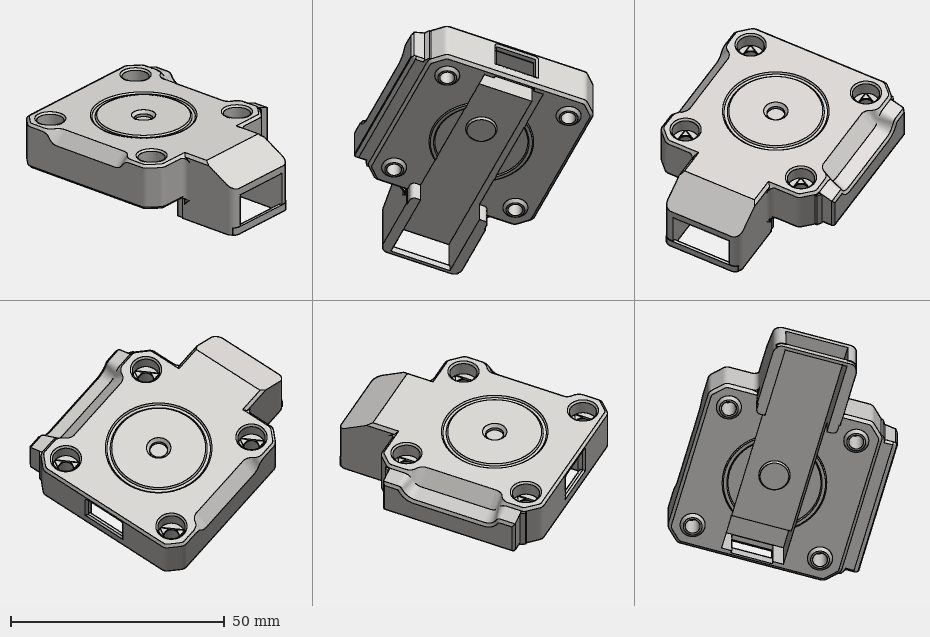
import cadquery as cq
import math

OVERALL_LENGTH = 57.0
OVERALL_WIDTH = 46.25
OVERLAP = 0.55

BODY_HALF = 42.0 / 2
BODY_BACK = 21.25
MIDDLE_Y = (BODY_BACK - BODY_HALF) / 2
BODY_BOTTOM = 5.35
TOP = 16.9
CORNER_LEG = 3.3
CORNER_ROUND = 1.95
TOP_CHAMFER = 0.6
BOTTOM_CHAMFER = 0.75

FRONT_SCOOP_DEPTH = 3.1
BACK_SCOOP_DEPTH = FRONT_SCOOP_DEPTH + BODY_BACK - BODY_HALF
SCOOP_FLAT_HALF = 8.95
SCOOP_OUTER_HALF = 13.35
SCOOP_END = 18.25
SCOOP_LID = 22.8
EVEN_TURN = 0.5

FLANGE_HALF = 17.1
FLANGE_BACK = OVERALL_WIDTH - BODY_HALF
FLANGE_BOTTOM = BODY_BOTTOM + BOTTOM_CHAMFER
FLANGE_FALL = math.tan(math.radians(20))
FLANGE_CHAMFER = 0.55
FLANGE_BACK_TURN = 0.78
FLANGE_GUSSET_WIDTH = 1.1
FLANGE_GUSSET_DEPTH = 0.75

DUCT_START = 17.95
DUCT_STEP = 20.35
DUCT_END = 35.85
DUCT_HALF = 20.25 / 2
DUCT_STEP_INSET = 0.3
DUCT_START_ROUND = 1.15
DUCT_END_ROUND = 2.05
DUCT_SIDE_CHAMFER = 0.75
DUCT_SLOPE_START = 27.1
DUCT_SLOPE = math.tan(math.radians(30))
DUCT_FILLET = 1.5
DUCT_FILLET_FALL = 0.7
DUCT_FILLET_TAIL = 0.15
BAR_START = 35.25
BAR_END = OVERALL_LENGTH - BODY_HALF
BAR_HEIGHT = 1.9

CAVITY_HALF = 7.5
CAVITY_START = -19.3
CAVITY_CEILING = 10.0
POCKET_END = -12.55
POCKET_CEILING = 15.45

WINDOW_HALF = 5.55
WINDOW_BOTTOM = 8.4
WINDOW_TOP = 15.8
WINDOW_ROUND = 0.85
WINDOW_CHAMFER = 0.5
WINDOW_SILL_CHAMFER = 0.35
WINDOW_SILL_END = -19.85

SCREW_OFFSET = 15.5
SCREW_HOLE_D = 3.5
COUNTERBORE_D = 6.4
COUNTERBORE_RIM_D = 7.3
COUNTERBORE_DEPTH = 3.7
STEP_DEPTH = 0.3
FOOT_TOP_D = 5.9
FOOT_TIP_D = 4.4
FOOT_HEIGHT = 0.8

CENTRE_RIM_D = 5.7
CENTRE_HOLE_D = 4.2
CENTRE_DEPTH = 1.4
BOSS_TOP_D = 7.35
BOSS_TIP_D = 6.7
BOSS_HEIGHT = 0.6
GROOVE_OUTER_R = 12.5
GROOVE_INNER_R = 11.0
GROOVE_DEPTH = 0.37
RING_OUTER_R = 12.25
RING_INNER_R = 11.2
RING_HEIGHT = 0.3


def box(x_range, y_range, z_range):
    """Block between the given limits."""
    size = [high - low for low, high in (x_range, y_range, z_range)]
    return cq.Workplane("XY", origin=(x_range[0], y_range[0], z_range[0])).box(*size, centered=False)


def cone(top_d, bottom_d, top_z, height):
    """Cone frustum on the Z axis."""
    solid = cq.Solid.makeCone(bottom_d / 2, top_d / 2, height, cq.Vector(0, 0, top_z - height))
    return cq.Workplane(solid)


def ring(profile):
    """Solid turned about the Z axis from (radius, z) points."""
    return cq.Workplane("XZ").polyline(profile).close().revolve(360, (0, 0), (0, 1))


def scoop_outline(y, shoulder_z, depth, lower_share):
    """Closed outline at a given Y above a scoop: S curves join its level floor to level shoulders."""
    run = SCOOP_OUTER_HALF - SCOOP_FLAT_HALF
    rise = depth - TOP_CHAMFER
    floor_z = shoulder_z - rise
    half_turn = math.atan2(rise, run)
    length = math.hypot(rise, run)
    lower_chord = lower_share * length
    upper_chord = length - lower_chord
    inflection = (SCOOP_FLAT_HALF + lower_share * run, floor_z + lower_share * rise)

    def step(chord):
        """Offset from a level end of an arc to the arc's middle point."""
        half_chord = chord / 2 / math.cos(half_turn / 2)
        return half_chord * math.cos(half_turn / 2), half_chord * math.sin(half_turn / 2)

    lower_dx, lower_dz = step(lower_chord)
    upper_dx, upper_dz = step(upper_chord)
    lower_middle = (SCOOP_FLAT_HALF + lower_dx, floor_z + lower_dz)
    upper_middle = (SCOOP_OUTER_HALF - upper_dx, shoulder_z - upper_dz)
    return (
        cq.Workplane("XZ", origin=(0, y, 0))
        .moveTo(-SCOOP_FLAT_HALF, floor_z)
        .lineTo(SCOOP_FLAT_HALF, floor_z)
        .threePointArc(lower_middle, inflection)
        .threePointArc(upper_middle, (SCOOP_OUTER_HALF, shoulder_z))
        .lineTo(SCOOP_END, shoulder_z)
        .lineTo(SCOOP_END, SCOOP_LID)
        .lineTo(-SCOOP_END, SCOOP_LID)
        .lineTo(-SCOOP_END, shoulder_z)
        .lineTo(-SCOOP_OUTER_HALF, shoulder_z)
        .threePointArc((-upper_middle[0], upper_middle[1]), (-inflection[0], inflection[1]))
        .threePointArc((-lower_middle[0], lower_middle[1]), (-SCOOP_FLAT_HALF, floor_z))
        .close()
        .wire()
        .val()
    )


def scoop_cutter(start, end, depth, end_share=EVEN_TURN):
    """Ruled cutter for a scoop of given depth between the (y, shoulder z) pairs at its two ends."""
    outlines = [scoop_outline(*start, depth, EVEN_TURN), scoop_outline(*end, depth, end_share)]
    return cq.Workplane(cq.Solid.makeLoft(outlines, True))


def edge_scoop(depth, wall_y, inward):
    """Scoop cutter that rises at 45 degrees from a wall of the body towards its middle."""
    shoulder_z = TOP - TOP_CHAMFER
    return scoop_cutter((wall_y, shoulder_z), (wall_y + inward * depth, shoulder_z + depth), depth)


def body():
    """Square block with cut corners and chamfered rims."""
    block = box((-BODY_HALF, BODY_HALF), (-BODY_HALF, BODY_BACK), (BODY_BOTTOM, TOP))
    block = block.edges("|Z").chamfer(CORNER_LEG).edges("|Z").fillet(CORNER_ROUND)
    block = block.faces(">Z").chamfer(TOP_CHAMFER)
    return block.faces("<Z").chamfer(BOTTOM_CHAMFER)


def flange():
    """Block on the back whose top falls outward and carries the scoop on."""
    depth = FLANGE_BACK - BODY_BACK
    half = FLANGE_HALF
    block = box((-half, half), (BODY_BACK - OVERLAP, FLANGE_BACK), (FLANGE_BOTTOM, TOP))
    shoulder = TOP - TOP_CHAMFER
    wall = (BODY_BACK, shoulder)
    back = (FLANGE_BACK, shoulder - depth * FLANGE_FALL)
    block = block.cut(scoop_cutter(wall, back, BACK_SCOOP_DEPTH, FLANGE_BACK_TURN))
    root = (BODY_BACK - OVERLAP, shoulder)
    block = block.cut(scoop_cutter(wall, root, BACK_SCOOP_DEPTH))
    block = block.faces(">Y").chamfer(FLANGE_CHAMFER)
    block = block.faces("<Z").chamfer(FLANGE_CHAMFER)
    gusset_top = shoulder - FLANGE_GUSSET_DEPTH * FLANGE_FALL
    gusset = (
        cq.Workplane("XY", origin=(0, 0, FLANGE_BOTTOM))
        .polyline(
            [
                (half - OVERLAP, BODY_BACK - OVERLAP),
                (half + FLANGE_GUSSET_WIDTH, BODY_BACK - OVERLAP),
                (half + FLANGE_GUSSET_WIDTH, BODY_BACK),
                (half, BODY_BACK + FLANGE_GUSSET_DEPTH),
                (half - OVERLAP, BODY_BACK + FLANGE_GUSSET_DEPTH),
            ]
        )
        .close()
        .extrude(gusset_top - FLANGE_BOTTOM)
    )
    return block.union(gusset).union(gusset.mirror("YZ"))


def duct():
    """Hood on the +X side with a sloped nose, stepped in where it runs under the body."""
    main = box((DUCT_STEP, DUCT_END), (-DUCT_HALF, DUCT_HALF), (0, TOP))
    main = main.edges("|Z and >X").fillet(DUCT_END_ROUND)
    main = main.faces(">Z").edges("|X").chamfer(DUCT_SIDE_CHAMFER)
    nose_run = DUCT_END + OVERLAP - DUCT_SLOPE_START
    nose = (
        cq.Workplane("XZ")
        .polyline(
            [
                (DUCT_SLOPE_START, TOP),
                (DUCT_SLOPE_START + nose_run, TOP - nose_run * DUCT_SLOPE),
                (DUCT_SLOPE_START + nose_run, TOP),
            ]
        )
        .close()
        .extrude(DUCT_HALF + OVERLAP, both=True)
    )
    step_half = DUCT_HALF - DUCT_STEP_INSET
    root = box((DUCT_START, DUCT_STEP + OVERLAP), (-step_half, step_half), (0, CAVITY_CEILING))
    root = root.edges("|Z and <X").fillet(DUCT_START_ROUND)
    return main.cut(nose).union(root).translate((0, MIDDLE_Y, 0))


def end_bar():
    """Low bar across the duct mouth, standing slightly proud of the rounded duct end."""
    proud = BAR_END - DUCT_END
    half = DUCT_HALF + proud
    outer = box((DUCT_STEP, BAR_END), (-half, half), (0, BAR_HEIGHT))
    outer = outer.edges("|Z and >X").fillet(DUCT_END_ROUND + proud)
    return outer.intersect(box((BAR_START, BAR_END), (-half, half), (0, BAR_HEIGHT))).translate((0, MIDDLE_Y, 0))


def duct_fillets():
    """Hollow fillets between the body and the duct sides, ended by slanted faces."""
    reach = BODY_HALF + DUCT_FILLET
    edge_y = DUCT_HALF + DUCT_FILLET
    plan = (
        cq.Workplane("XY")
        .moveTo(BODY_HALF - OVERLAP, 0)
        .lineTo(reach, 0)
        .lineTo(reach, DUCT_HALF)
        .radiusArc((BODY_HALF, edge_y), DUCT_FILLET)
        .lineTo(BODY_HALF - OVERLAP, edge_y)
        .close()
        .extrude(TOP)
    )
    shoulder = TOP - TOP_CHAMFER
    side = (
        cq.Workplane("XZ")
        .polyline(
            [
                (BODY_HALF - OVERLAP, BODY_BOTTOM + BOTTOM_CHAMFER),
                (BODY_HALF, BODY_BOTTOM + BOTTOM_CHAMFER),
                (BODY_HALF, BODY_BOTTOM - DUCT_FILLET),
                (reach, BODY_BOTTOM),
                (reach, shoulder - DUCT_FILLET * DUCT_FILLET_FALL),
                (BODY_HALF, shoulder),
                (BODY_HALF - OVERLAP, shoulder),
            ]
        )
        .close()
        .extrude(-edge_y)
    )
    end = (
        cq.Workplane("YZ")
        .polyline(
            [
                (0, TOP),
                (0, BODY_BOTTOM - DUCT_FILLET),
                (DUCT_HALF + DUCT_FILLET_TAIL, BODY_BOTTOM - DUCT_FILLET),
                (DUCT_HALF + DUCT_FILLET_TAIL, BODY_BOTTOM),
                (edge_y, BODY_BOTTOM + BOTTOM_CHAMFER),
                (edge_y, TOP),
            ]
        )
        .close()
        .extrude(reach)
    )
    fillet = plan.intersect(side).intersect(end)
    return fillet.union(fillet.mirror("XZ")).translate((0, MIDDLE_Y, 0))


def at_screws(feature):
    """Copies of a feature at the four screw positions."""
    spots = [(x, y) for x in (-SCREW_OFFSET, SCREW_OFFSET) for y in (-SCREW_OFFSET, SCREW_OFFSET)]
    copies = feature.translate((*spots[0], 0))
    for x, y in spots[1:]:
        copies = copies.union(feature.translate((x, y, 0)))
    return copies


def screw_cutter():
    """Through hole and counterbore, joined by a triangular and a six-sided step."""
    rim = cone(COUNTERBORE_RIM_D, COUNTERBORE_D, TOP, (COUNTERBORE_RIM_D - COUNTERBORE_D) / 2)
    floor_z = TOP - COUNTERBORE_DEPTH
    bore = cq.Workplane("XY", origin=(0, 0, floor_z)).circle(COUNTERBORE_D / 2).extrude(COUNTERBORE_DEPTH)
    triangle = (
        cq.Workplane("XY", origin=(0, 0, floor_z - 2 * STEP_DEPTH))
        .transformed(rotate=(0, 0, 90))
        .polygon(3, 2 * SCREW_HOLE_D)
        .extrude(2 * STEP_DEPTH)
        .intersect(cq.Workplane("XY").circle(COUNTERBORE_D / 2).extrude(TOP))
    )
    upper_layer = box((-BODY_HALF, BODY_HALF), (-BODY_HALF, BODY_HALF), (floor_z - STEP_DEPTH, TOP))
    shallow = triangle.intersect(upper_layer)
    hexagon = triangle.intersect(triangle.rotate((0, 0, 0), (0, 0, 1), 180))
    hole = cq.Workplane("XY").circle(SCREW_HOLE_D / 2).extrude(TOP)
    return hole.union(bore).union(rim).union(shallow).union(hexagon)


def window_cutter():
    """Opening in the -X wall with rounded upper corners, a flared rim and a thinned sill."""

    def outline(margin, sill_margin):
        half = WINDOW_HALF - margin
        low = WINDOW_BOTTOM + sill_margin
        high = WINDOW_TOP - margin
        round_r = WINDOW_ROUND - margin
        return (
            cq.Workplane("YZ", origin=(-BODY_HALF + margin, MIDDLE_Y, 0))
            .moveTo(-half, low)
            .lineTo(half, low)
            .lineTo(half, high - round_r)
            .radiusArc((half - round_r, high), -round_r)
            .lineTo(round_r - half, high)
            .radiusArc((-half, high - round_r), -round_r)
            .close()
        )

    inner = outline(WINDOW_CHAMFER, WINDOW_SILL_CHAMFER)
    opening = inner.extrude(CAVITY_START + OVERLAP + BODY_HALF)
    rims = [outline(0, 0).wire().val(), outline(WINDOW_CHAMFER, WINDOW_SILL_CHAMFER).wire().val()]
    half = WINDOW_HALF - WINDOW_CHAMFER
    relief = box(
        (WINDOW_SILL_END, CAVITY_START + OVERLAP),
        (MIDDLE_Y - half, MIDDLE_Y + half),
        (0, WINDOW_BOTTOM + OVERLAP),
    )
    return opening.union(cq.Workplane(cq.Solid.makeLoft(rims, True))).union(relief)


front_scoop = edge_scoop(FRONT_SCOOP_DEPTH, -BODY_HALF, 1)
back_scoop = edge_scoop(BACK_SCOOP_DEPTH, BODY_BACK, -1)
result = body().cut(front_scoop).cut(back_scoop)
result = result.union(flange()).union(duct()).union(duct_fillets())

foot = cone(FOOT_TOP_D, FOOT_TIP_D, BODY_BOTTOM, FOOT_HEIGHT)
result = result.union(at_screws(foot))
ring_z = BODY_BOTTOM - RING_HEIGHT
result = result.union(
    ring(
        [
            (RING_INNER_R - RING_HEIGHT, BODY_BOTTOM + OVERLAP),
            (RING_INNER_R - RING_HEIGHT, BODY_BOTTOM),
            (RING_INNER_R, ring_z),
            (RING_OUTER_R - RING_HEIGHT, ring_z),
            (RING_OUTER_R, BODY_BOTTOM),
            (RING_OUTER_R, BODY_BOTTOM + OVERLAP),
        ]
    )
)

cavity_y = (MIDDLE_Y - CAVITY_HALF, MIDDLE_Y + CAVITY_HALF)
result = result.cut(box((CAVITY_START, BAR_END + OVERLAP), cavity_y, (-OVERLAP, CAVITY_CEILING)))
result = result.cut(box((CAVITY_START, POCKET_END), cavity_y, (0, POCKET_CEILING)))
result = result.cut(window_cutter()).union(end_bar())
result = result.union(cone(BOSS_TOP_D, BOSS_TIP_D, CAVITY_CEILING, BOSS_HEIGHT))

result = result.cut(at_screws(screw_cutter()))
result = result.cut(cone(CENTRE_RIM_D, CENTRE_HOLE_D, TOP, (CENTRE_RIM_D - CENTRE_HOLE_D) / 2))
result = result.cut(
    cq.Workplane("XY", origin=(0, 0, TOP - CENTRE_DEPTH)).circle(CENTRE_HOLE_D / 2).extrude(CENTRE_DEPTH)
)
result = result.cut(
    ring(
        [
            (GROOVE_INNER_R, TOP),
            (GROOVE_INNER_R + GROOVE_DEPTH, TOP - GROOVE_DEPTH),
            (GROOVE_OUTER_R - GROOVE_DEPTH, TOP - GROOVE_DEPTH),
            (GROOVE_OUTER_R, TOP),
        ]
    )
)